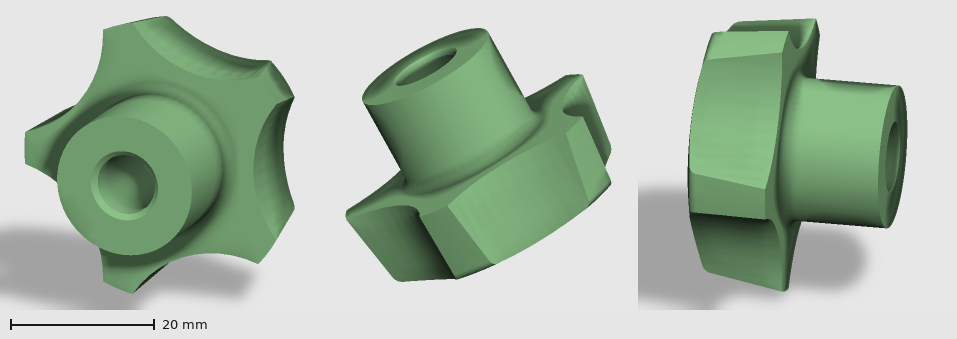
import cadquery as cq
import math

lobe_count = 5
head_radius = 20.0
head_edge_radius = 18.22
flank_height = 10.4
dome_edge_radius = 16.95
dome_edge_height = 11.45
rim_radius = 1.45
head_height = 13.9

scallop_floor = 14.0
scallop_corner_angle = 29.4

stem_radius = 10.0
stem_length = 14.0
stem_fillet = 1.37

bore_radius = 4.25
bore_mouth_radius = 4.98
bore_depth = 18.03
drill_point_angle = 118.0

corner_angle = math.radians(scallop_corner_angle)
corner_reach = head_radius * math.cos(corner_angle) - scallop_floor
corner_half_width = head_radius * math.sin(corner_angle)
scallop_radius = (corner_reach**2 + corner_half_width**2) / (2 * corner_reach)
scallop_center = scallop_floor + scallop_radius


def revolve_about_y(profile):
    return profile.close().revolve(360, (0, 0, 0), (0, 1, 0))


def make_head():
    """Tapered disc with a domed top, a rounded rim and scallops between the lobes."""
    dome_rise = head_height - dome_edge_height
    dome_radius = (dome_edge_radius**2 + dome_rise**2) / (2 * dome_rise)
    dome_mid_radius = dome_edge_radius / 2
    dome_mid_height = head_height - dome_radius + math.sqrt(dome_radius**2 - dome_mid_radius**2)
    head = revolve_about_y(
        cq.Workplane("XY")
        .lineTo(head_radius, 0)
        .lineTo(head_edge_radius, flank_height)
        .radiusArc((dome_edge_radius, dome_edge_height), -rim_radius)
        .threePointArc((dome_mid_radius, dome_mid_height), (0, head_height))
    )
    for index in range(lobe_count):
        scallop = (
            cq.Workplane("XZ")
            .center(scallop_center, 0)
            .circle(scallop_radius)
            .extrude(-head_height)
            .rotate((0, 0, 0), (0, 1, 0), index * 360 / lobe_count)
        )
        head = head.cut(scallop)
    return head


def make_stem():
    """Round stem flaring into the underside of the head through a concave fillet."""
    flare_radius = stem_radius + stem_fillet
    overlap = head_height / 2
    return revolve_about_y(
        cq.Workplane("XY")
        .moveTo(0, -stem_length)
        .lineTo(stem_radius, -stem_length)
        .lineTo(stem_radius, -stem_fillet)
        .radiusArc((flare_radius, 0), stem_fillet)
        .lineTo(flare_radius, overlap)
        .lineTo(0, overlap)
    )


def make_bore():
    """Blind drilled hole with a 45 degree countersunk mouth and a conical end."""
    mouth_depth = bore_mouth_radius - bore_radius
    point_length = bore_radius / math.tan(math.radians(drill_point_angle / 2))
    bore_end = bore_depth - stem_length
    return revolve_about_y(
        cq.Workplane("XY")
        .moveTo(0, -stem_length)
        .lineTo(bore_mouth_radius, -stem_length)
        .lineTo(bore_radius, -stem_length + mouth_depth)
        .lineTo(bore_radius, bore_end)
        .lineTo(0, bore_end + point_length)
    )


result = make_head().union(make_stem()).cut(make_bore())